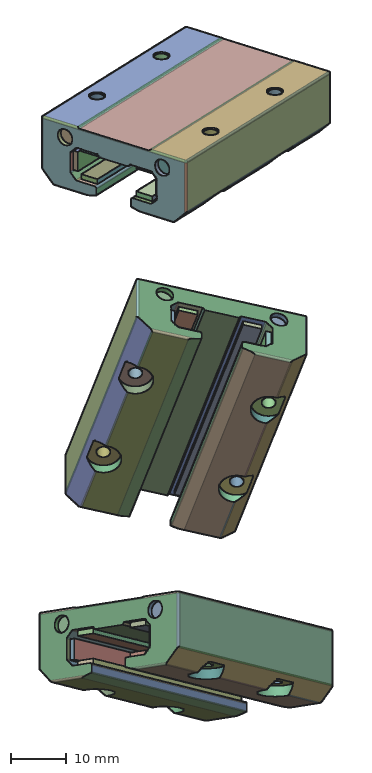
import cadquery as cq
import math

length = 45.0
width = 32.0
height = 13.2
half_width = width / 2

edge_radius = 0.382

lower_corner_chamfer = 2.92

recess_half_width = 7.88
recess_depth = 0.2
recess_blend_radius = 0.5

channel_half_width = 9.55
channel_floor_z = 2.45
channel_roof_z = 9.0
channel_corner = 1.3
lip_half_gap = 3.82
lip_bottom_radius = 0.2
lip_relief_width = 2.45
lip_relief_height = 0.65
rib_half_width = 3.25
rib_depth = 0.5
rib_slope_width = 0.35

pad_thickness = 1.0
flat_pad_width = 3.55
flat_pad_center_x = 6.05
side_pad_height = 3.85
pad_end_gap = 1.0
pad_length = length - 2 * pad_end_gap

screw_spacing_x = 25.0
screw_spacing_y = 20.0
screw_hole_diameter = 2.5
screw_mouth_chamfer = 0.22
counterbore_diameter = 6.5
counterbore_depth = 1.95

end_hole_diameter = 3.2
end_hole_depth = 1.0
end_hole_x = 10.7
end_hole_z = 10.4


def centered_box(size_x, size_y, size_z, center_x, center_z):
    """Box centred on y = 0 with its middle at the given x and z."""
    return cq.Workplane("XY").box(size_x, size_y, size_z).translate((center_x, 0, center_z))


def extrude_along_length(points):
    """Symmetric extrusion over the full length of a closed XZ outline."""
    return cq.Workplane("XZ").polyline(points).close().extrude(length / 2, both=True)


def round_long_edges(body, points, radius):
    """Round the lengthwise edges through the given (x, z) points and their mirror images."""
    reach = radius / 2
    for x, z in points:
        for edge_x in (-x, x):
            selector = cq.selectors.BoxSelector(
                (edge_x - reach, -reach, z - reach), (edge_x + reach, reach, z + reach)
            )
            body = body.edges(selector).fillet(radius)
    return body


def outer_block():
    """Block with rounded edges and 45-degree lower corners running along its length."""
    block = cq.Workplane("XY").box(width, length, height, centered=(True, True, False))
    block = block.edges("|Z or >Z or <Z").fillet(edge_radius)

    side_corner = (half_width, lower_corner_chamfer)
    bottom_corner = (half_width - lower_corner_chamfer, 0)
    right_side = [bottom_corner, side_corner, (half_width, height)]
    left_side = [(-x, z) for x, z in reversed(right_side)]
    prism = extrude_along_length(right_side + left_side)
    prism = round_long_edges(prism, [side_corner, bottom_corner], edge_radius)
    return block.intersect(prism)


def top_recess():
    """Recess whose sides are S-curves of two tangent arcs meeting at half depth."""
    floor_z = height - recess_depth
    half_depth = recess_depth / 2
    bend = math.acos(1 - half_depth / recess_blend_radius)
    arc_width = recess_blend_radius * math.sin(bend)
    mid_width = recess_blend_radius * math.sin(bend / 2)
    mid_drop = recess_blend_radius * (1 - math.cos(bend / 2))
    rim_x = recess_half_width + arc_width
    floor_x = recess_half_width - arc_width
    profile = (
        cq.Workplane("XZ")
        .moveTo(-rim_x, height)
        .threePointArc((-rim_x + mid_width, height - mid_drop), (-recess_half_width, height - half_depth))
        .threePointArc((-floor_x - mid_width, floor_z + mid_drop), (-floor_x, floor_z))
        .lineTo(floor_x, floor_z)
        .threePointArc((floor_x + mid_width, floor_z + mid_drop), (recess_half_width, height - half_depth))
        .threePointArc((rim_x - mid_width, height - mid_drop), (rim_x, height))
        .close()
    )
    return profile.extrude(length / 2, both=True)


def rail_channel():
    """Tool for the rail channel, its lips and the low rib along the middle of its roof."""
    corner_x = channel_half_width - channel_corner
    corner_points = [
        (corner_x, channel_floor_z),
        (channel_half_width, channel_floor_z + channel_corner),
        (channel_half_width, channel_roof_z - channel_corner),
        (corner_x, channel_roof_z),
    ]
    right_side = [
        (lip_half_gap + lip_relief_width, 0),
        (lip_half_gap, lip_relief_height),
        (lip_half_gap, channel_floor_z),
        *corner_points,
        (rib_half_width + rib_slope_width, channel_roof_z),
        (rib_half_width, channel_roof_z - rib_depth),
    ]
    left_side = [(-x, z) for x, z in reversed(right_side)]
    channel = extrude_along_length(right_side + left_side)
    channel = round_long_edges(channel, corner_points, edge_radius)
    channel = round_long_edges(channel, [(lip_half_gap, channel_floor_z)], edge_radius)
    channel = round_long_edges(channel, [(lip_half_gap, lip_relief_height)], lip_bottom_radius)
    return channel


def screw_holes():
    mouth_diameter = screw_hole_diameter + 2 * screw_mouth_chamfer
    layout = cq.Workplane("XY").rarray(screw_spacing_x, screw_spacing_y, 2, 2)
    shafts = layout.circle(screw_hole_diameter / 2).extrude(height)
    counterbores = layout.circle(counterbore_diameter / 2).extrude(counterbore_depth)
    mouths = (
        cq.Workplane("XY", origin=(0, 0, height))
        .rarray(screw_spacing_x, screw_spacing_y, 2, 2)
        .circle(mouth_diameter / 2)
        .extrude(-screw_mouth_chamfer, taper=45)
    )
    return shafts.union(counterbores).union(mouths)


def end_holes():
    centers = [(-end_hole_x, end_hole_z), (end_hole_x, end_hole_z)]
    front = (
        cq.Workplane("XZ", origin=(0, -length / 2, 0))
        .pushPoints(centers)
        .circle(end_hole_diameter / 2)
        .extrude(-end_hole_depth)
    )
    return front.union(front.mirror("XZ"))


def make_housing():
    return (
        outer_block()
        .cut(top_recess())
        .cut(rail_channel())
        .cut(screw_holes())
        .cut(end_holes())
    )


def flat_pad(side, center_z):
    return centered_box(flat_pad_width, pad_length, pad_thickness, side * flat_pad_center_x, center_z)


def side_pad(side):
    center_x = side * (channel_half_width - pad_thickness / 2)
    center_z = (channel_floor_z + channel_roof_z) / 2
    return centered_box(pad_thickness, pad_length, side_pad_height, center_x, center_z)


housing = make_housing()

pads = []
for side in (-1, 1):
    pads.append(flat_pad(side, channel_roof_z - pad_thickness / 2))
    pads.append(flat_pad(side, channel_floor_z + pad_thickness / 2))
    pads.append(side_pad(side))

result = cq.Compound.makeCompound([housing.val(), *[pad.val() for pad in pads]])